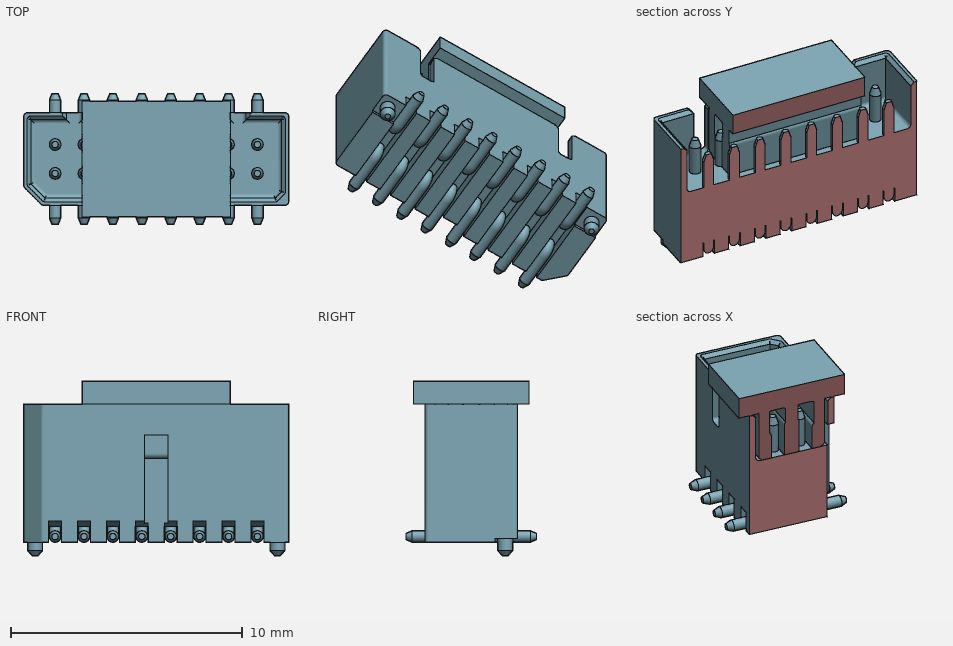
import cadquery as cq
import math

LENGTH = 11.45
DEPTH = 4.01
HEIGHT = 5.97
KEY_CHAMFER = 0.8
CORNER_RADIUS = 0.17

WALL = 0.31
FLOOR_Z = 3.62
FLOOR_FILLET = 0.17
RIM_CHAMFER = 0.16
SMALL_CAVITY_CHAMFER = 0.29

WALL_SLOT_X = 3.54
WALL_SLOT_WIDTH = 0.69
WALL_SLOT_OVERRUN = 0.57

RECESS_WIDTH = 1.01
RECESS_TOP_Z = 4.63
RECESS_DEPTH = 0.32

PIN_COLUMNS = 8
PIN_PITCH = 1.25
PIN_DIAMETER = 0.5
PIN_TIP_DIAMETER = 0.27
PIN_TIP_LENGTH = 0.34
TAIL_TIP_LENGTH = 0.27
PIN_BEND_RADIUS = 0.4
PIN_TOP_Z = 5.29
PIN_SPAN_Y = 5.65
PIN_ROW_Y = PIN_PITCH / 2
PIN_RADIUS = PIN_DIAMETER / 2

CHANNEL_WIDTH = 0.55
CHANNEL_HEIGHT = 0.69
CHANNEL_MOUTH_HEIGHT = 0.93
CHANNEL_SLOPE_LENGTH = 0.85

PEG_DIAMETER = 0.65
PEG_TIP_DIAMETER = 0.24
PEG_TIP_LENGTH = 0.23
PEG_DROP = 0.58
PEG_X = 5.23
PEG_Y = 1.47
RELIEF_HEIGHT = 0.17
RELIEF_START_Y = 1.02

CAP_LENGTH = 6.4
CAP_DEPTH = 5.0
CAP_THICKNESS = 1.0
RIB_SPAN_Y = 3.14
RIB_EDGE_RADIUS = 0.21
TUNNEL_CORNER_RADIUS = 0.1
TUNNEL_INNER_Y = 0.3
TUNNEL_OUTER_Y = 1.05
MIDDLE_SHOULDER_WIDTH = 0.07
MIDDLE_SHOULDER_DROP = 0.72
OUTER_SHOULDER_WIDTH = 0.1
OUTER_SHOULDER_DROP = 1.1
SHOULDER_RADIUS = 0.21

column_xs = [(i - (PIN_COLUMNS - 1) / 2) * PIN_PITCH for i in range(PIN_COLUMNS)]


def box(x_min, x_max, y_min, y_max, z_min, z_max):
    size = (x_max - x_min, y_max - y_min, z_max - z_min)
    return cq.Workplane().box(*size, centered=False).translate((x_min, y_min, z_min))


def tapered_rod(diameter, tip_diameter, length, tip_length):
    """Rod along +Z from the origin, with a conical tip at its far end."""
    profile = [
        (0, 0),
        (diameter / 2, 0),
        (diameter / 2, length - tip_length),
        (tip_diameter / 2, length),
        (0, length),
    ]
    return cq.Workplane("XZ").polyline(profile).close().revolve(360, (0, 0), (0, 1))


def make_block():
    x = LENGTH / 2
    y = DEPTH / 2
    outline = [(-x + KEY_CHAMFER, -y), (x, -y), (x, y), (-x, y), (-x, -y + KEY_CHAMFER)]
    block = cq.Workplane().polyline(outline).close().extrude(HEIGHT)
    return block.edges("|Z").fillet(CORNER_RADIUS)


def make_cavity():
    """Cutter for the cavity and both wall slots, with a rounded floor and a flared rim."""
    x = LENGTH / 2 - WALL
    y = DEPTH / 2 - WALL
    key_leg = KEY_CHAMFER - WALL * (2 - math.sqrt(2))
    slot_inner_x = WALL_SLOT_X - WALL_SLOT_WIDTH / 2
    slot_outer_x = WALL_SLOT_X + WALL_SLOT_WIDTH / 2
    slot_end_y = DEPTH / 2 + WALL_SLOT_OVERRUN
    outline = [
        (-x + key_leg, -y),
        (x - SMALL_CAVITY_CHAMFER, -y),
        (x, -y + SMALL_CAVITY_CHAMFER),
        (x, y),
        (slot_outer_x, y),
        (slot_outer_x, slot_end_y),
        (slot_inner_x, slot_end_y),
        (slot_inner_x, y),
        (-slot_inner_x, y),
        (-slot_inner_x, slot_end_y),
        (-slot_outer_x, slot_end_y),
        (-slot_outer_x, y),
        (-x, y),
        (-x, -y + key_leg),
    ]
    pocket = cq.Workplane(origin=(0, 0, FLOOR_Z)).polyline(outline).close().extrude(HEIGHT - FLOOR_Z)
    pocket = pocket.faces("<Z").edges().fillet(FLOOR_FILLET)
    rim = cq.Workplane(origin=(0, 0, HEIGHT - RIM_CHAMFER)).polyline(outline).close()
    return pocket.union(rim.extrude(RIM_CHAMFER, taper=-45))


def make_recess():
    """Recess cutter, deeper above the floor so that it opens onto the flat cavity floor."""
    front = -DEPTH / 2
    half_width = RECESS_WIDTH / 2
    recess = box(-half_width, half_width, front, front + RECESS_DEPTH, 0, RECESS_TOP_Z)
    window_back = front + WALL + FLOOR_FILLET
    return recess.union(box(-half_width, half_width, front, window_back, FLOOR_Z, RECESS_TOP_Z))


def make_channel(x):
    """Channel along Y whose ceiling slopes up to a taller mouth at each side."""
    y = DEPTH / 2
    flat_y = y - CHANNEL_SLOPE_LENGTH
    section = [
        (-y, 0),
        (y, 0),
        (y, CHANNEL_MOUTH_HEIGHT),
        (flat_y, CHANNEL_HEIGHT),
        (-flat_y, CHANNEL_HEIGHT),
        (-y, CHANNEL_MOUTH_HEIGHT),
    ]
    channel = cq.Workplane("YZ").polyline(section).close().extrude(CHANNEL_WIDTH / 2, both=True)
    return channel.translate((x, 0, 0))


def make_relief(side):
    """Shallow step under one +Y corner, ending at the outermost channel."""
    outer_x = side * LENGTH / 2
    inner_x = side * (column_xs[-1] + CHANNEL_WIDTH / 2)
    x_min, x_max = sorted((outer_x, inner_x))
    return box(x_min, x_max, RELIEF_START_Y, DEPTH / 2, 0, RELIEF_HEIGHT)


def make_peg(side):
    length = PEG_DROP + RELIEF_HEIGHT
    peg = tapered_rod(PEG_DIAMETER, PEG_TIP_DIAMETER, length, PEG_TIP_LENGTH)
    return peg.rotate((0, 0, 0), (1, 0, 0), 180).translate((side * PEG_X, PEG_Y, RELIEF_HEIGHT))


def make_pin(x, side):
    """Bent pin with a tail that leaves the housing towards +Y (side 1) or -Y (side -1)."""
    bend_top_z = PIN_RADIUS + PIN_BEND_RADIUS
    upright = tapered_rod(PIN_DIAMETER, PIN_TIP_DIAMETER, PIN_TOP_Z - bend_top_z, PIN_TIP_LENGTH)
    upright = upright.translate((0, PIN_ROW_Y, bend_top_z))
    bend = cq.Workplane(origin=(0, PIN_ROW_Y, bend_top_z)).circle(PIN_RADIUS)
    bend = bend.revolve(90, (0, PIN_BEND_RADIUS), (1, PIN_BEND_RADIUS))
    tail_start_y = PIN_ROW_Y + PIN_BEND_RADIUS
    tail = tapered_rod(PIN_DIAMETER, PIN_TIP_DIAMETER, PIN_SPAN_Y / 2 - tail_start_y, TAIL_TIP_LENGTH)
    tail = tail.rotate((0, 0, 0), (1, 0, 0), -90).translate((0, tail_start_y, PIN_RADIUS))
    pin = upright.union(bend).union(tail)
    if side < 0:
        pin = pin.mirror("XZ")
    return pin.translate((x, 0, 0))


def make_housing():
    housing = make_block().cut(make_cavity()).cut(make_recess())
    for x in column_xs:
        housing = housing.cut(make_channel(x))
    for side in (-1, 1):
        housing = housing.cut(make_relief(side)).union(make_peg(side))
    for x in column_xs:
        for side in (-1, 1):
            housing = housing.union(make_pin(x, side))
    return housing


def shoulder_height(width):
    """Height of the shoulder arc, which is tangent to the foot and cut off by the upper rib face."""
    return math.sqrt(SHOULDER_RADIUS**2 - (SHOULDER_RADIUS - width) ** 2)


def make_tunnel(side):
    """Cutter over one pin row, narrowed below by a rounded shoulder on each side."""
    inner_foot_y = TUNNEL_INNER_Y + MIDDLE_SHOULDER_WIDTH
    outer_foot_y = TUNNEL_OUTER_Y - OUTER_SHOULDER_WIDTH
    inner_shoulder_z = HEIGHT - MIDDLE_SHOULDER_DROP
    outer_shoulder_z = HEIGHT - OUTER_SHOULDER_DROP
    inner_foot_z = inner_shoulder_z - shoulder_height(MIDDLE_SHOULDER_WIDTH)
    outer_foot_z = outer_shoulder_z - shoulder_height(OUTER_SHOULDER_WIDTH)
    section = (
        cq.Workplane("YZ")
        .moveTo(inner_foot_y, FLOOR_Z)
        .lineTo(outer_foot_y, FLOOR_Z)
        .lineTo(outer_foot_y, outer_foot_z)
        .radiusArc((TUNNEL_OUTER_Y, outer_shoulder_z), SHOULDER_RADIUS)
        .lineTo(TUNNEL_OUTER_Y, HEIGHT)
        .lineTo(TUNNEL_INNER_Y, HEIGHT)
        .lineTo(TUNNEL_INNER_Y, inner_shoulder_z)
        .radiusArc((inner_foot_y, inner_foot_z), SHOULDER_RADIUS)
        .close()
    )
    tunnel = section.extrude(CAP_LENGTH / 2, both=True)
    tunnel = tunnel.edges("|X and >Z").fillet(TUNNEL_CORNER_RADIUS)
    return tunnel if side > 0 else tunnel.mirror("XZ")


def make_cap():
    half_length = CAP_LENGTH / 2
    slab = box(-half_length, half_length, -CAP_DEPTH / 2, CAP_DEPTH / 2, HEIGHT, HEIGHT + CAP_THICKNESS)
    plug = box(-half_length, half_length, -RIB_SPAN_Y / 2, RIB_SPAN_Y / 2, FLOOR_Z, HEIGHT)
    plug = plug.edges("|X and <Z").fillet(RIB_EDGE_RADIUS)
    cap = slab.union(plug)
    for side in (-1, 1):
        cap = cap.cut(make_tunnel(side))
    return cap


housing = make_housing()
cap = make_cap()

result = cq.Compound.makeCompound([housing.val(), cap.val()])